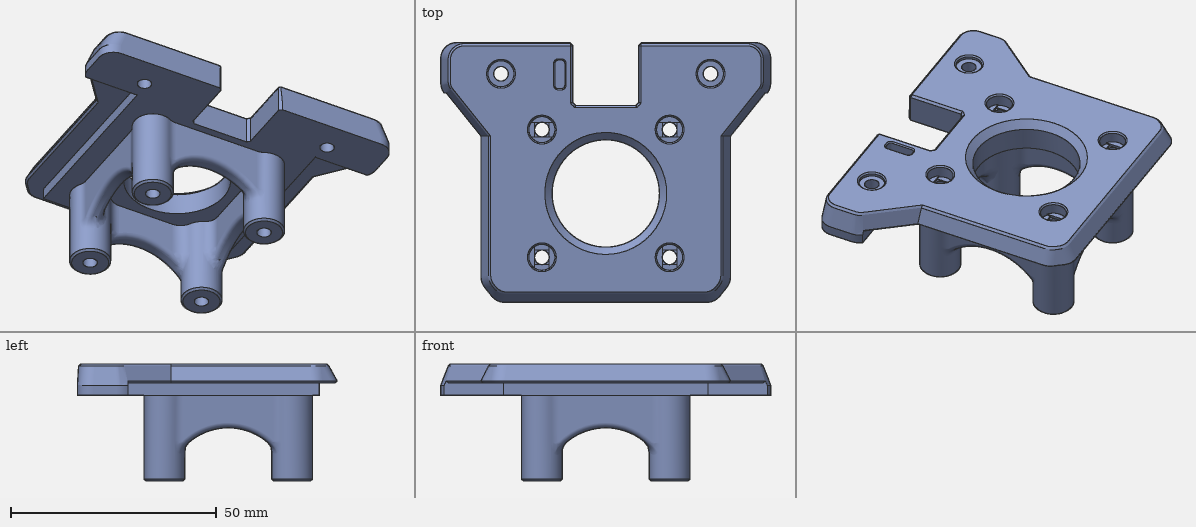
import math

import cadquery as cq


PLATE_TOP = 7.65
STEP_Z = 3.0
LIP_Z = 3.5
WING_WALL_Z = 2.45
TOP_CHAMFER = 0.55
CHAMFER_ANGLE = 45.0
CHAMFER_Z = PLATE_TOP - TOP_CHAMFER
LIP_CHAMFER = LIP_Z - STEP_Z

WING_HALF = 40.08
WING_DRAFT = 0.39
BODY_HALF = 30.3
BODY_DRAFT = 0.507
FRONT_END = 26.45
FRONT_DRAFT = 0.55
BACK_END = 36.65
BACK_DRAFT = 0.06
WING_ROOT_Y = 13.9
FLARE_ANGLE = math.radians(38.8)
BACK_RADIUS = 3.9
WING_RADIUS = 4.5
WING_RADIUS_DRAFT = 0.24
CORNER_RADIUS = 4.0
CORNER_SETBACK = 4.75
CORNER_SETBACK_DRAFT = 0.45

LOWER_HALF = 24.8
LOWER_FRONT = 22.1
LOWER_WING_Y = 24.35

NOTCH_HALF = 8.0
NOTCH_Y = 21.4
NOTCH_CORNER = 0.7
MOUTH_CLEARANCE = 2.0

BORE_D = 26.0
BORE_CHAMFER = 1.8

SCREW_D = 3.5
HEAD_D = 6.3
HEAD_CHAMFER = 0.35
WING_HOLE_X = 25.43
WING_HOLE_Y = 29.05
WING_HEAD_DEPTH = 1.0
POST_HEAD_DEPTH = 3.0
BRIDGE_STEP = 0.3

SLOT_X = -11.15
SLOT_Y = 28.9
SLOT_WIDTH = 2.4
SLOT_LENGTH = 6.9
SLOT_RADIUS = 0.8
SLOT_DEPTH = 4.0
SLOT_CHAMFER = 0.3

POST_PITCH = 31.0
POST_D = 10.0
POST_LENGTH = 20.8
POST_CHAMFER = 0.5
ARCH_RADIUS = 14.8
ARCH_APEX_Z = -7.9
RIB_EDGE_RADIUS = 1.2
RIB_HALF = 14.0
RIB_DEPTH = 18.0
ROOT_TOLERANCE = 0.002
RIBS = [(0, 4.0, 4.0), (1, 3.75, 3.5)]

OVERSIZE = 100.0
POST_OFFSET = POST_PITCH / 2
POST_CENTRES = [(sx * POST_OFFSET, sy * POST_OFFSET) for sx in (-1, 1) for sy in (-1, 1)]


def rounded_corner(before, corner, after, radius):
    """Start, middle and end of an arc that rounds a corner between two neighbouring points."""
    corner_point = cq.Vector(*corner)
    to_before = (cq.Vector(*before) - corner_point).normalized()
    to_after = (cq.Vector(*after) - corner_point).normalized()
    half_angle = to_before.getAngle(to_after) / 2
    run = radius / math.tan(half_angle)
    bisector = (to_before + to_after).normalized()
    sagitta_point = corner_point + bisector * (radius / math.sin(half_angle) - radius)
    return corner_point + to_before * run, sagitta_point, corner_point + to_after * run


def outline_wire(level, inset=0.0, z=None):
    """Plate outline with the walls where they stand at level, shrunk by inset, drawn at height z."""
    side = BODY_HALF - BODY_DRAFT * (level - LIP_Z) - inset
    front = FRONT_END - FRONT_DRAFT * (level - LIP_Z) - inset
    wing = WING_HALF - WING_DRAFT * (level - WING_WALL_Z) - inset
    back = BACK_END - BACK_DRAFT * (level - WING_WALL_Z) - inset
    setback = CORNER_SETBACK - CORNER_SETBACK_DRAFT * (level - LIP_Z)
    setback -= inset * (1 - math.tan(FLARE_ANGLE / 2))
    wing_radius = WING_RADIUS - WING_RADIUS_DRAFT * (level - WING_WALL_Z)
    flare_y = WING_ROOT_Y + (wing - side) / math.tan(FLARE_ANGLE)

    right = [
        ((side - setback * math.tan(FLARE_ANGLE), -front), CORNER_RADIUS - inset),
        ((side, -front + setback), CORNER_RADIUS - inset),
        ((side, WING_ROOT_Y), 0),
        ((wing, flare_y), wing_radius - inset),
        ((wing, back), BACK_RADIUS - inset),
    ]
    left = [((-x, y), radius) for (x, y), radius in reversed(right)]
    corners = right + left

    spans = []
    for i, (point, radius) in enumerate(corners):
        if radius:
            before = corners[i - 1][0]
            after = corners[(i + 1) % len(corners)][0]
            spans.append(rounded_corner(before, point, after, radius))
        else:
            spans.append((cq.Vector(*point),))

    edges = []
    for i, span in enumerate(spans):
        if len(span) > 1:
            edges.append(cq.Edge.makeThreePointArc(*span))
        edges.append(cq.Edge.makeLine(span[-1], spans[(i + 1) % len(spans)][0]))
    return cq.Wire.assembleEdges(edges).translate(cq.Vector(0, 0, level if z is None else z))


def outline_loft(lower_wire, upper_wire):
    return cq.Workplane(obj=cq.Solid.makeLoft([lower_wire, upper_wire], True))


def vertical_box(x_min, x_max, y_min, y_max, z_min, z_max):
    size = (x_max - x_min, y_max - y_min, z_max - z_min)
    return cq.Workplane().box(*size, centered=False).translate((x_min, y_min, z_min))


def make_plate():
    wing_walls = outline_loft(outline_wire(WING_WALL_Z, z=0), outline_wire(WING_WALL_Z))
    drafted_walls = outline_loft(outline_wire(WING_WALL_Z), outline_wire(CHAMFER_Z))
    top_edge = outline_loft(outline_wire(CHAMFER_Z), outline_wire(CHAMFER_Z, TOP_CHAMFER, PLATE_TOP))
    plate = wing_walls.union(drafted_walls).union(top_edge)

    lip = outline_loft(outline_wire(LIP_Z, LIP_CHAMFER, STEP_Z), outline_wire(LIP_Z))
    lower = vertical_box(-LOWER_HALF, LOWER_HALF, -LOWER_FRONT, LOWER_WING_Y, 0, LIP_Z)
    undercut = vertical_box(-OVERSIZE, OVERSIZE, -OVERSIZE, LOWER_WING_Y, 0, LIP_Z)
    plate = plate.cut(undercut.cut(lip).cut(lower))

    return cut_notch(plate)


def cut_notch(plate):
    """Notch in the back edge with cut corners, a flared mouth and a chamfered top edge."""
    mouth_flare = NOTCH_CORNER + MOUTH_CLEARANCE
    right = [
        (NOTCH_HALF - NOTCH_CORNER, NOTCH_Y),
        (NOTCH_HALF, NOTCH_Y + NOTCH_CORNER),
        (NOTCH_HALF, BACK_END - NOTCH_CORNER),
        (NOTCH_HALF + mouth_flare, BACK_END + MOUTH_CLEARANCE),
    ]
    left = [(-x, y) for x, y in reversed(right)]
    notch = cq.Workplane().polyline(right + left).close().extrude(PLATE_TOP)
    top_edge = (
        cq.Workplane(origin=(0, 0, CHAMFER_Z))
        .polyline(right + left)
        .close()
        .extrude(TOP_CHAMFER, taper=-CHAMFER_ANGLE)
    )
    return plate.cut(notch).cut(top_edge)


def chamfered_hole(x, y, diameter, depth, chamfer):
    """Cutter for a round hole from the top face with a 45 degree chamfer at its mouth."""
    radius = diameter / 2
    profile = [
        (0, 0),
        (radius + chamfer, 0),
        (radius, -chamfer),
        (radius, -depth),
        (0, -depth),
    ]
    cutter = cq.Workplane("XZ").polyline(profile).close().revolve(360, (0, 0), (0, 1))
    return cutter.translate((x, y, PLATE_TOP))


def screw_hole(x, y, head_depth):
    """Cutter for a through hole with a chamfered counterbore."""
    shank_length = PLATE_TOP + POST_LENGTH
    shank = cq.Workplane(origin=(x, y, -POST_LENGTH)).circle(SCREW_D / 2).extrude(shank_length)
    return chamfered_hole(x, y, HEAD_D, head_depth, HEAD_CHAMFER).union(shank)


def bridge_steps(x, y):
    """Cutter below a post counterbore: a slot as long as the head, then a square around the shank."""
    floor = PLATE_TOP - POST_HEAD_DEPTH
    head = cq.Workplane(origin=(x, y, floor)).circle(HEAD_D / 2).extrude(-BRIDGE_STEP)
    strip = cq.Workplane(origin=(x, y, floor))
    if y > 0:
        strip = strip.rect(HEAD_D, SCREW_D)
    else:
        strip = strip.rect(SCREW_D, HEAD_D)
    slot = strip.extrude(-BRIDGE_STEP).intersect(head)
    square = cq.Workplane(origin=(x, y, floor)).rect(SCREW_D, SCREW_D).extrude(-2 * BRIDGE_STEP)
    return slot.union(square)


def blind_slot():
    """Cutter for the narrow blind slot with rounded corners and a chamfered mouth."""
    profile = cq.Sketch().rect(SLOT_WIDTH, SLOT_LENGTH).vertices().fillet(SLOT_RADIUS)
    slot = cq.Workplane(origin=(SLOT_X, SLOT_Y, PLATE_TOP)).placeSketch(profile).extrude(-SLOT_DEPTH)
    mouth = (
        cq.Workplane(origin=(SLOT_X, SLOT_Y, PLATE_TOP - SLOT_CHAMFER))
        .placeSketch(profile)
        .extrude(SLOT_CHAMFER, taper=-CHAMFER_ANGLE)
    )
    return slot.union(mouth)


def make_rib(thickness):
    """Arched rib along X, its inner face on the line of post centres and its arch edges rounded."""
    rib = vertical_box(
        -RIB_HALF, RIB_HALF, -POST_OFFSET - thickness, -POST_OFFSET, -RIB_DEPTH, 0
    )
    arch = (
        cq.Workplane("XZ")
        .center(0, ARCH_APEX_Z - ARCH_RADIUS)
        .circle(ARCH_RADIUS)
        .extrude(OVERSIZE)
    )
    return rib.cut(arch).edges("%CIRCLE").fillet(RIB_EDGE_RADIUS)


def is_rib_root(edge, along):
    """True for an edge where a rib running along the given axis (0 is X, 1 is Y) meets a post."""
    for fraction in (0, 0.5, 1):
        point = edge.positionAt(fraction)
        reach = math.hypot(abs(point.x) - POST_OFFSET, abs(point.y) - POST_OFFSET)
        if abs(reach - POST_D / 2) > ROOT_TOLERANCE:
            return False
    centre = edge.Center().toTuple()
    inside_span = abs(centre[along]) < POST_OFFSET and abs(centre[along]) < abs(centre[1 - along])
    return inside_span and -RIB_DEPTH < centre[2] < -ROOT_TOLERANCE


def make_supports():
    """Four posts joined by four arched ribs, with a fillet where each rib meets its posts."""
    supports = (
        cq.Workplane()
        .pushPoints(POST_CENTRES)
        .circle(POST_D / 2)
        .extrude(-POST_LENGTH)
        .faces("<Z")
        .edges()
        .chamfer(POST_CHAMFER)
    )
    for along, thickness, root_radius in RIBS:
        rib = make_rib(thickness).rotate((0, 0, 0), (0, 0, 1), 90 * along)
        supports = supports.union(rib).union(rib.rotate((0, 0, 0), (0, 0, 1), 180))
        roots = [edge for edge in supports.val().Edges() if is_rib_root(edge, along)]
        supports = cq.Workplane(obj=supports.val().fillet(root_radius, roots))
    return supports


result = make_plate().union(make_supports())
result = result.cut(chamfered_hole(0, 0, BORE_D, PLATE_TOP, BORE_CHAMFER))
for post_x, post_y in POST_CENTRES:
    result = result.cut(screw_hole(post_x, post_y, POST_HEAD_DEPTH))
    result = result.cut(bridge_steps(post_x, post_y))
for wing_x in (-WING_HOLE_X, WING_HOLE_X):
    result = result.cut(screw_hole(wing_x, WING_HOLE_Y, WING_HEAD_DEPTH))
result = result.cut(blind_slot())